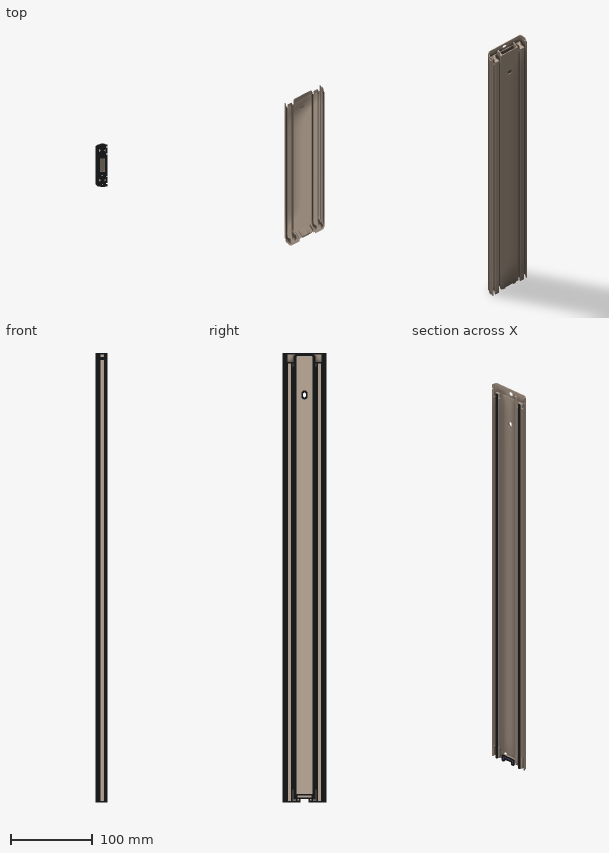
import cadquery as cq


length = 550.0
width = 51.5
depth = 12.5
sheet = 0.8
end_z = length / 2
back_x = -depth / 2
front_x = depth / 2

track_height = 1.0
track_length = 6.0
track_x = 1.0
corner_chamfer = 2.0
flange_y = width / 2 - track_height

web_gap = 1.0
middle_top_z = 264.0
middle_back_x = back_x + sheet + web_gap
middle_inside_y = 15.5
middle_outside_y = 21.0
middle_groove_depth = 1.5

inner_top_z = 273.0
inner_bottom_z = -270.5
inner_half_width = 12.5
inner_flange = 2.0
inner_groove_depth = 1.0
inner_back_x = -3.0
inner_corner_radius = 3.0

cage_thickness = 1.5
cage_front_x = 4.5
cage_end_z = 258.5
inner_cage_back_x = inner_back_x

hole_diameter = 5.5
slot_length = 8.0
slot_step = 16.0
pair_z = [240.5, 176.5, 16.0, -176.5]
through_slot_z = pair_z[0] - slot_step
round_holes = [(268.5, 5.5), (-48.0, 4.5), (-255.0, 5.0)]

window_z = 269.0
window_height = 1.5
window_back_x = -1.0
window_length = 5.5

notch_half_width = 11.0
relief_top_z = -264.0
notch_top_z = -265.5
tab_width = 13.0
bend_radius = 2.0
bumper_half_width = 9.5
bumper_back_x = -3.5
bumper_front_x = front_x - sheet
bumper_bottom_z = -274.5
bumper_top_z = -266.0
bumper_slot_width = 11.5
bumper_slot_top_z = -270.5


def block(x0, x1, y0, y1, z0, z1):
    """Box between the given limits on each axis."""
    return cq.Workplane("XY").box(x1 - x0, y1 - y0, z1 - z0, centered=False).translate((x0, y0, z0))


def web_hole(z, diameter):
    """Round cutter along X through the whole depth of the slide."""
    return cq.Workplane("YZ", origin=(back_x, 0, z)).circle(diameter / 2).extrude(depth)


def web_slot(z):
    """Slot cutter along X through the whole depth, with its long side along Z."""
    return cq.Workplane("YZ", origin=(back_x, 0, z)).slot2D(slot_length, hole_diameter, 90).extrude(depth)


def track(y, height):
    """Full-length arc-shaped bar on the ball track, `height` proud of the plane at `y`."""
    half = track_length / 2
    return (
        cq.Workplane("XY", origin=(0, 0, -end_z))
        .moveTo(track_x - half, y)
        .threePointArc((track_x, y + height), (track_x + half, y))
        .close()
        .extrude(length)
    )


def both_sides(shape):
    """The shape together with its mirror image at -Y."""
    return shape.union(shape.mirror("XZ"))


def make_outer():
    """Outer channel with mounting holes, stop windows and a bent tab at its lower end."""
    body = block(back_x, front_x, -flange_y, flange_y, -end_z, end_z)
    body = body.edges("|Z and <X").chamfer(corner_chamfer)
    hollow_y = flange_y - sheet
    hollow = block(back_x + sheet, front_x, -hollow_y, hollow_y, -end_z, end_z)
    hollow = hollow.edges("|Z and <X").chamfer(corner_chamfer)
    body = body.union(both_sides(track(flange_y, track_height)))
    body = body.cut(hollow).cut(both_sides(track(hollow_y, track_height)))

    for z in pair_z:
        body = body.cut(web_hole(z, hole_diameter)).cut(web_slot(z - slot_step))
    for z, diameter in round_holes:
        body = body.cut(web_hole(z, diameter))

    window = block(
        window_back_x,
        window_back_x + window_length,
        -width / 2,
        width / 2,
        window_z - window_height / 2,
        window_z + window_height / 2,
    )
    notch = block(back_x, back_x + sheet, -notch_half_width, notch_half_width, -end_z, notch_top_z)
    relief = block(back_x, back_x + sheet, tab_width / 2, notch_half_width, notch_top_z, relief_top_z)
    return body.cut(window).cut(notch).cut(both_sides(relief)).union(make_stop_tab())


def make_stop_tab():
    """Quarter bend that turns the web inward at the top of its end notch."""
    bend = cq.Workplane("XZ", origin=(back_x + bend_radius, tab_width / 2, notch_top_z))
    ring = bend.circle(bend_radius).circle(bend_radius - sheet).extrude(tab_width)
    quarter = block(
        back_x,
        back_x + bend_radius,
        -tab_width / 2,
        tab_width / 2,
        notch_top_z - bend_radius,
        notch_top_z,
    )
    return ring.intersect(quarter)


def make_middle():
    """Middle channel, shorter at the top and notched around the bumper."""
    body = block(middle_back_x, front_x, -middle_outside_y, middle_outside_y, -end_z, middle_top_z)
    hollow = block(
        middle_back_x + sheet, front_x, -middle_inside_y, middle_inside_y, -end_z, middle_top_z
    )
    body = body.cut(hollow)
    body = body.cut(both_sides(track(middle_outside_y, -middle_groove_depth)))
    body = body.cut(both_sides(track(middle_inside_y, middle_groove_depth)))
    notch = block(
        middle_back_x,
        middle_back_x + sheet,
        -bumper_half_width,
        bumper_half_width,
        -end_z,
        relief_top_z,
    )
    return body.cut(notch).cut(web_slot(through_slot_z))


def make_inner():
    """Inner channel facing the other way, with rounded upper corners."""
    body = block(
        inner_back_x, front_x, -inner_half_width, inner_half_width, inner_bottom_z, inner_top_z
    )
    body = body.edges("|X and >Z").fillet(inner_corner_radius)
    hollow_y = inner_half_width - inner_flange
    hollow = block(inner_back_x, front_x - sheet, -hollow_y, hollow_y, inner_bottom_z, inner_top_z)
    body = body.cut(hollow).cut(both_sides(track(inner_half_width, -inner_groove_depth)))
    return body.cut(web_slot(through_slot_z))


def make_cage(inner_face_y, cage_back_x):
    """Flat strip that holds one row of balls, with its face nearest Y = 0 at `inner_face_y`."""
    return block(
        cage_back_x, cage_front_x, inner_face_y, inner_face_y + cage_thickness, -cage_end_z, cage_end_z
    )


def make_bumper():
    """U-shaped stop whose two legs point to the lower end."""
    body = block(
        bumper_back_x,
        bumper_front_x,
        -bumper_half_width,
        bumper_half_width,
        bumper_bottom_z,
        bumper_top_z,
    )
    slot = block(
        bumper_back_x,
        bumper_front_x,
        -bumper_slot_width / 2,
        bumper_slot_width / 2,
        bumper_bottom_z,
        bumper_slot_top_z,
    )
    return body.cut(slot)


outer = make_outer()
middle = make_middle()
inner = make_inner()
bumper = make_bumper()

cage_places = [(middle_outside_y, middle_back_x), (middle_inside_y - cage_thickness, inner_cage_back_x)]
cages = []
for face_y, back_edge_x in cage_places:
    cage = make_cage(face_y, back_edge_x)
    cages.append(cage.val())
    cages.append(cage.mirror("XZ").val())

result = cq.Compound.makeCompound([outer.val(), middle.val(), inner.val(), *cages, bumper.val()])